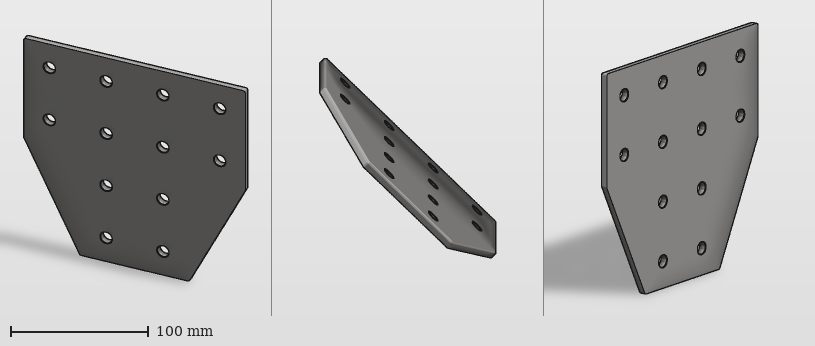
import cadquery as cq

size = 176.0
thickness = 6.0
hole_pitch = 45.0
foot_half_width = 43.3
corner_radius = 2.0
back_edge_radius = 2.0
hole_diameter = 9.0
hole_chamfer = 0.5

half_size = size / 2
front_y = -thickness / 2
back_y = thickness / 2
outer_column = 1.5 * hole_pitch
inner_column = 0.5 * hole_pitch

shoulder_z = -half_size + 2 * hole_pitch


def make_plate():
    """Tapered plate with rounded corners and a rounded back rim."""
    outline = [
        (-half_size, half_size),
        (half_size, half_size),
        (half_size, shoulder_z),
        (foot_half_width, -half_size),
        (-foot_half_width, -half_size),
        (-half_size, shoulder_z),
    ]
    plate = cq.Workplane("XZ").polyline(outline).close().extrude(thickness / 2, both=True)
    plate = plate.edges("|Y").fillet(corner_radius)
    return plate.faces(">Y").edges().fillet(back_edge_radius)


def hole_positions():
    """Two upper rows of four holes above two lower rows of two."""
    rows = [1.5 * hole_pitch, 0.5 * hole_pitch, -0.5 * hole_pitch, -1.5 * hole_pitch]
    positions = []
    for z in rows:
        columns = [-inner_column, inner_column]
        if z > 0:
            columns += [-outer_column, outer_column]
        positions += [(x, z) for x in columns]
    return positions


def make_hole_cutter():
    """Through hole with a small chamfer at both mouths, along +Y."""
    radius = hole_diameter / 2
    mouth_radius = radius + hole_chamfer
    profile = [
        (0, front_y),
        (mouth_radius, front_y),
        (radius, front_y + hole_chamfer),
        (radius, back_y - hole_chamfer),
        (mouth_radius, back_y),
        (0, back_y),
    ]
    return cq.Workplane("XY").polyline(profile).close().revolve(360, (0, 0, 0), (0, 1, 0))


result = make_plate()
hole_cutter = make_hole_cutter()
for hole_x, hole_z in hole_positions():
    result = result.cut(hole_cutter.translate((hole_x, 0, hole_z)))